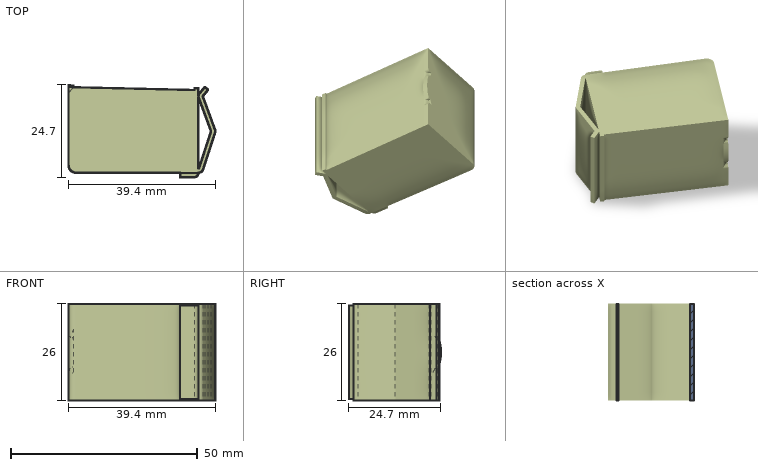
import cadquery as cq
import math

BODY_LENGTH = 34.87
BODY_DEPTH = 23.0
BODY_HEIGHT = 26.0
BODY_EDGE_RADIUS = 2.0

SLOPE_DROP = 0.75
LIP_LENGTH = 1.1
LIP_HEIGHT = 0.45

PAD_LENGTH = 4.9
PAD_THICKNESS = 1.2
PAD_HEIGHT = 25.2

CLIP_THICKNESS = 1.2
CLIP_REACH = 39.41
CLIP_ROOT_GAP = 0.1
CLIP_APEX_Y = 11.15
CLIP_BEND_Y = 20.55
CLIP_TIP_LENGTH = 2.25
CLIP_TIP_ANGLE = 50.0
CLIP_OVERLAP = 0.03

BUMP_HEIGHT = 0.5
BUMP_CROWN_RADIUS = 11.0
BUMP_HALF_WIDTH = 4.0
BUMP_CORNER_RADIUS = 0.25
NOTCH_OUTER_Z = 5.35
NOTCH_INNER_DEPTH = 0.95
NOTCH_OUTER_DEPTH = 1.6
NOTCH_MOUTH_RADIUS = 0.8
NOTCH_END_ANGLE = 40.0
LATCH_LENGTH = NOTCH_OUTER_DEPTH * math.tan(math.radians(NOTCH_END_ANGLE))


def extrude_centred(outline, height):
    """Extrude an XY outline along Z, equally above and below z = 0."""
    return outline.extrude(height / 2, both=True)


def make_body():
    slope_end_x = BODY_LENGTH - LIP_LENGTH
    slope_end_y = BODY_DEPTH - SLOPE_DROP
    lip_y = slope_end_y + LIP_HEIGHT
    outline = (
        cq.Workplane("XY")
        .moveTo(0, 0)
        .lineTo(BODY_LENGTH, 0)
        .lineTo(BODY_LENGTH, lip_y)
        .lineTo(slope_end_x, lip_y)
        .lineTo(slope_end_x, slope_end_y)
        .lineTo(LATCH_LENGTH, BODY_DEPTH)
        .lineTo(0, BODY_DEPTH)
        .close()
    )
    front_left_edge = cq.selectors.NearestToPointSelector((0, 0, 0))
    return extrude_centred(outline, BODY_HEIGHT).edges("|Z").edges(front_left_edge).fillet(BODY_EDGE_RADIUS)


def make_pad():
    left_x = BODY_LENGTH - PAD_LENGTH
    outline = (
        cq.Workplane("XY")
        .moveTo(left_x, 0)
        .lineTo(left_x, -PAD_THICKNESS)
        .lineTo(BODY_LENGTH - PAD_THICKNESS, -PAD_THICKNESS)
        .radiusArc((BODY_LENGTH, 0), -PAD_THICKNESS)
        .close()
    )
    return extrude_centred(outline, PAD_HEIGHT)


def offset_point(point, angle, distance):
    """Point reached by moving a distance from a point in the direction of an angle in radians."""
    return (point[0] + distance * math.cos(angle), point[1] + distance * math.sin(angle))


def make_clip():
    root = (BODY_LENGTH + CLIP_ROOT_GAP, CLIP_THICKNESS)
    apex = (CLIP_REACH - CLIP_THICKNESS, CLIP_APEX_Y)
    bend = (BODY_LENGTH + CLIP_THICKNESS - CLIP_OVERLAP, CLIP_BEND_Y)

    lower_angle = math.atan2(apex[1] - root[1], apex[0] - root[0])
    bend_distance = math.dist(apex, bend)
    upper_angle = math.atan2(bend[1] - apex[1], bend[0] - apex[0]) + math.asin(CLIP_THICKNESS / bend_distance)
    tip_angle = math.radians(CLIP_TIP_ANGLE)
    lower_out = lower_angle - math.pi / 2
    upper_out = upper_angle - math.pi / 2
    tip_in = tip_angle + math.pi / 2

    bend_start = offset_point(bend, upper_out + math.pi, CLIP_THICKNESS)
    bend_middle = offset_point(bend, math.pi, CLIP_THICKNESS)
    bend_end = offset_point(bend, tip_in, CLIP_THICKNESS)
    tip_outer = offset_point(bend, tip_angle, CLIP_TIP_LENGTH)
    tip_inner = offset_point(tip_outer, tip_in, CLIP_THICKNESS)
    apex_start = offset_point(apex, upper_out, CLIP_THICKNESS)
    apex_middle = offset_point(apex, 0, CLIP_THICKNESS)
    apex_end = offset_point(apex, lower_out, CLIP_THICKNESS)

    root_radius = CLIP_THICKNESS + CLIP_ROOT_GAP * math.sin(lower_angle) / (1 - math.cos(lower_angle))
    root_centre = (BODY_LENGTH, root_radius)
    root_start = offset_point(root_centre, lower_out, root_radius)
    root_middle = offset_point(root_centre, (lower_out - math.pi / 2) / 2, root_radius)

    outline = (
        cq.Workplane("XY")
        .moveTo(BODY_LENGTH, root[1])
        .lineTo(*root)
        .lineTo(*apex)
        .lineTo(*bend_start)
        .threePointArc(bend_middle, bend_end)
        .lineTo(*tip_inner)
        .lineTo(*tip_outer)
        .lineTo(*bend)
        .lineTo(*apex_start)
        .threePointArc(apex_middle, apex_end)
        .lineTo(*root_start)
        .threePointArc(root_middle, (BODY_LENGTH, 0))
        .close()
    )
    return extrude_centred(outline, BODY_HEIGHT)


def crown_y(z):
    """Height in Y of the bump's crown at a given z."""
    sag = BUMP_CROWN_RADIUS - math.sqrt(BUMP_CROWN_RADIUS**2 - z**2)
    return BODY_DEPTH + BUMP_HEIGHT - sag


def make_bump():
    root_y = BODY_DEPTH - NOTCH_INNER_DEPTH
    edge_y = crown_y(BUMP_HALF_WIDTH)
    bump = (
        cq.Workplane("YZ")
        .moveTo(root_y, -BUMP_HALF_WIDTH)
        .lineTo(edge_y, -BUMP_HALF_WIDTH)
        .threePointArc((crown_y(0), 0), (edge_y, BUMP_HALF_WIDTH))
        .lineTo(root_y, BUMP_HALF_WIDTH)
        .close()
        .extrude(LATCH_LENGTH)
    )
    return bump.faces(">Y").edges("|X").fillet(BUMP_CORNER_RADIUS)


def make_latch_recess():
    """Cutter for both notches and the block's back face between them."""
    mouth_z = NOTCH_OUTER_Z + NOTCH_MOUTH_RADIUS
    mouth_y = BODY_DEPTH - NOTCH_MOUTH_RADIUS
    inner_y = BODY_DEPTH - NOTCH_INNER_DEPTH
    outer_y = BODY_DEPTH - NOTCH_OUTER_DEPTH
    profile = (
        cq.Workplane("YZ")
        .moveTo(BODY_DEPTH, -mouth_z)
        .radiusArc((mouth_y, -NOTCH_OUTER_Z), -NOTCH_MOUTH_RADIUS)
        .lineTo(outer_y, -NOTCH_OUTER_Z)
        .lineTo(inner_y, -BUMP_HALF_WIDTH)
        .lineTo(inner_y, BUMP_HALF_WIDTH)
        .lineTo(outer_y, NOTCH_OUTER_Z)
        .lineTo(mouth_y, NOTCH_OUTER_Z)
        .radiusArc((BODY_DEPTH, mouth_z), -NOTCH_MOUTH_RADIUS)
        .close()
        .extrude(LATCH_LENGTH)
    )
    ramp = (
        cq.Workplane("XY")
        .moveTo(0, outer_y)
        .lineTo(LATCH_LENGTH, BODY_DEPTH)
        .lineTo(0, BODY_DEPTH)
        .close()
    )
    return profile.intersect(extrude_centred(ramp, 2 * mouth_z))


body = make_body().cut(make_latch_recess())
result = body.union(make_bump()).union(make_pad()).union(make_clip())